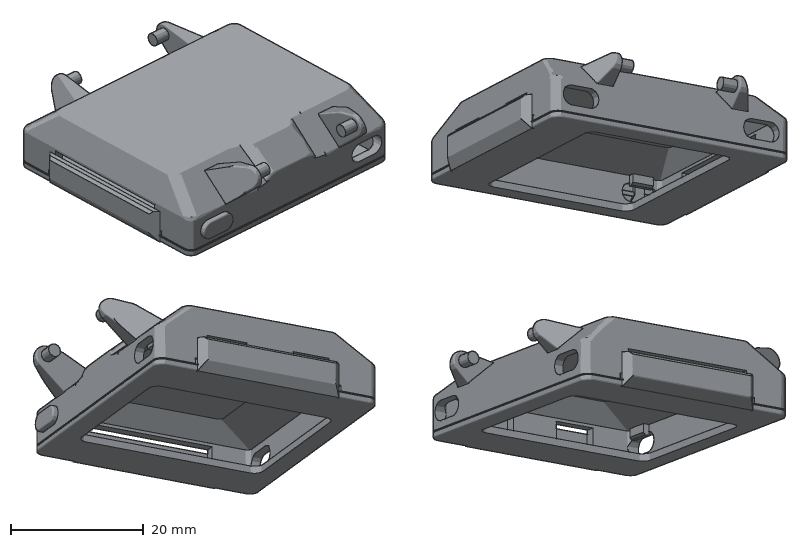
import cadquery as cq
import math

case_length_x = 37.26
case_length_y = 41.36
top_length_x = 25.8
top_length_y = 37.6
half_x = case_length_x / 2
half_y = case_length_y / 2
seam_z = 1.15
shoulder_z = 6.55
top_z = 11.35
corner_radius = 1.5
shoulder_radius = 0.8
top_edge_radius = 0.5
wall = 1.5
inner_half_x = half_x - wall
inner_half_y = half_y - wall
selection_margin = 0.1

slope_run = half_x - top_length_x / 2
slope_rise = top_z - shoulder_z
slope_length = math.hypot(slope_run, slope_rise)

pad_height = 1.3
pad_foot_height = 0.25
pad_start_x = 11.0
pad_edge_radius = 0.5
pad_top_stations = (-7.7, -5.6, -3.3, 3.6, 5.6, 7.7)
pad_bottom_stations = (-6.6, -4.8, -2.8, 3.6, 5.5, 7.5)

lug_inner_y = 10.3
lug_base_y = 13.35
lug_tip_edge_radius = 0.3
lug_inner_edge_radius = 0.25
lug_root_depth = 0.6
left_tip_radius = 1.7
left_reach_x = -21.27
left_tip = (left_reach_x + left_tip_radius, 9.7)
left_top_end = (-13.9, 10.45)
right_tip_radius = 1.8
right_reach_x = 23.41
right_reach_z = 13.4
right_tip = (right_reach_x - right_tip_radius, right_reach_z - right_tip_radius)
right_top_end = (13.9, 10.4)
right_top_knee = (18.77, 12.84)
left_outer_face = ((0, lug_base_y), (6, 10.65))
right_outer_face = ((0, lug_base_y), (4.5, 12.4), (8, 10.95))
pin_diameter = 2.0
pin_end_y = 7.87
left_pin_centre = (-19.43, 9.8)
right_pin_centre = (21.55, 11.8)

slot_z = 3.9
slot_height = 3.15
slot_length = 6.2
slot_depth = 2.5
plus_slot_y = 16.05
button_y = -15.55
button_height = 2.97
button_length = 6.1
button_end_x = 19.48
button_edge_radius = 0.3
button_recess = 0.5
button_post_half_y = 0.85
button_post_foot_half_y = 1.5
button_post_bend_z = 3.6
button_ledge_bottom_z = 3.5
button_ledge_top_z = 4.15
slot_rib_length = 3.6
slot_rib_bottom_z = 4.85
slot_rib_thickness = 1.0
slot_rib_chamfer = 0.35

window_half_x = 10.8
window_top_z = 6.05
far_window_half_x = 10.3
far_web_start_x = -4.28
far_web_end_x = 3.6
cover_edge_radius = 0.35
reveal = 0.15
flap_half_x = 11.95
flap_top_z = 5.4
overall_length_y = 43.75
flap_face_y = overall_length_y / 2
flap_side_bevel = 1.1
flap_bottom_bevel = 1.55
flap_top_bevel = 0.45
flap_edge_radius = 0.3
flap_root_depth = 1.0
relief_width = 0.35
relief_top_z = 2.05
relief_depth = 0.6
cover_top_z = seam_z - reveal
cover_opening_x = 30.6
cover_opening_y = 25.2


def box(x_range, y_range, z_range):
    """Block between the given limits."""
    size = [high - low for low, high in (x_range, y_range, z_range)]
    return cq.Workplane("XY").box(*size, centered=False).translate((x_range[0], y_range[0], z_range[0]))


def rounded_plate(length_x, length_y, radius, bottom, top):
    """Flat plate with round corners, centred on the case."""
    plate = cq.Workplane("XY", origin=(0, 0, bottom)).rect(length_x, length_y).extrude(top - bottom)
    return plate.edges("|Z").fillet(radius)


def rounded_outline(length_x, length_y, radius, z):
    """Rectangle with round corners at height z."""
    return rounded_plate(length_x, length_y, radius, z, z + 1).faces("<Z").wires().val()


def tapered_block(inset, bottom, top):
    """Block with round corners, straight up to the shoulder and tapered above, moved in by inset."""
    radius = corner_radius - inset / 2
    levels = (
        (bottom, case_length_x, case_length_y),
        (shoulder_z, case_length_x, case_length_y),
        (top, top_length_x, top_length_y),
    )
    sections = [rounded_outline(x - 2 * inset, y - 2 * inset, radius, z) for z, x, y in levels]
    return cq.Workplane(cq.Solid.makeLoft(sections, True))


def slope_height(x):
    """Height of the sloping side at distance x from the middle."""
    return shoulder_z + (half_x - abs(x)) * slope_rise / slope_run


def arc_middle(level_end, other_end):
    """Middle point of the arc that starts level at level_end and runs to other_end."""
    dy = other_end[0] - level_end[0]
    dz = other_end[1] - level_end[1]
    radius = (dy * dy + dz * dz) / (2 * dz)
    half_turn = math.asin(dy / radius) / 2
    return (
        level_end[0] + radius * math.sin(half_turn),
        level_end[1] + radius * (1 - math.cos(half_turn)),
    )


def pad_section(x, stations):
    """Cross-section of the raised pad: concave foot, convex shoulder, flat plateau."""
    base = slope_height(x)
    root = base - wall / 2
    bend = base + pad_foot_height
    plateau = base + pad_height
    heights = (base, bend, plateau, plateau, bend, base)
    foot_a, bend_a, edge_a, edge_b, bend_b, foot_b = zip(stations, heights)
    section = (
        cq.Workplane("YZ", origin=(x, 0, 0))
        .moveTo(foot_a[0], root)
        .lineTo(*foot_a)
        .threePointArc(arc_middle(foot_a, bend_a), bend_a)
        .threePointArc(arc_middle(edge_a, bend_a), edge_a)
        .lineTo(*edge_b)
        .threePointArc(arc_middle(edge_b, bend_b), bend_b)
        .threePointArc(arc_middle(foot_b, bend_b), foot_b)
        .lineTo(foot_b[0], root)
        .close()
    )
    return section.val()


def raised_pad():
    """Pad lofted down the +X slope, cut off level with the case top."""
    sections = [pad_section(pad_start_x, pad_top_stations), pad_section(half_x, pad_bottom_stations)]
    pad = cq.Workplane(cq.Solid.makeLoft(sections, True))
    pad = pad.faces(">X").edges(">Z").fillet(pad_edge_radius)
    return pad.intersect(box((0, half_x), (-half_y, half_y), (seam_z, top_z)))


def case_shell():
    """Hollow case, open at the bottom, with rounded edges and the raised pad."""
    shell = tapered_block(0, seam_z, top_z)
    low_corner = (-half_x, -half_y, shoulder_z - selection_margin)
    high_corner = (half_x, half_y, shoulder_z + selection_margin)
    shoulder_edges = shell.edges(cq.selectors.BoxSelector(low_corner, high_corner))
    shell = shoulder_edges.fillet(shoulder_radius)
    shell = shell.union(raised_pad())
    shell = shell.faces(">Z").edges().fillet(top_edge_radius)
    cavity = tapered_block(wall, seam_z, top_z - wall)
    return shell.cut(cavity)


def tangent_point(point, centre, radius, side):
    """Touch point, on a circle, of one of the two tangents from a point outside it."""
    dx = point[0] - centre[0]
    dz = point[1] - centre[1]
    angle = math.atan2(dz, dx) + side * math.acos(radius / math.hypot(dx, dz))
    return (centre[0] + radius * math.cos(angle), centre[1] + radius * math.sin(angle))


def lug(side, tip, tip_radius, upper_points, outer_face):
    """Lug at +Y: side outline with a round tip; the outer face leans in away from the slope."""
    foot = (side * half_x, shoulder_z)
    normal = (side * slope_rise / slope_length, slope_run / slope_length)
    sink_x, sink_z = [-lug_root_depth * component for component in normal]
    lower_touch = tangent_point(foot, tip, tip_radius, side)
    upper_touch = tangent_point(upper_points[-1], tip, tip_radius, -side)
    far_point = (tip[0] + side * tip_radius, tip[1])
    upper_end = upper_points[0]
    blank = (
        cq.Workplane("XZ")
        .moveTo(foot[0] + sink_x, foot[1] + sink_z)
        .lineTo(*foot)
        .lineTo(*lower_touch)
        .threePointArc(far_point, upper_touch)
        .polyline([upper_touch] + upper_points[::-1])
        .lineTo(upper_end[0] + sink_x, upper_end[1] + sink_z)
        .close()
        .extrude(-half_y)
    )
    section_plane = cq.Plane(
        origin=(foot[0], 0, foot[1]),
        xDir=(0, 1, 0),
        normal=(normal[1], 0, -normal[0]),
    )
    outer_points = [(y, height) for height, y in outer_face]
    section_points = [
        (lug_inner_y, -lug_root_depth),
        (lug_base_y, -lug_root_depth),
        *outer_points,
        (lug_inner_y, outer_points[-1][1]),
    ]
    section = cq.Workplane(section_plane).polyline(section_points).close()
    body = blank.intersect(section.extrude(2 * slope_length, both=True))
    body = body.edges("%ELLIPSE").fillet(lug_tip_edge_radius)
    return body.faces("<Y").edges().fillet(lug_inner_edge_radius)


def both_ends(body):
    """The body and its mirror image at the other Y end."""
    return [body, body.mirror("XZ")]


def slot(x_range, y, length, height):
    """Round-ended bar along X, standing across a long side wall."""
    bar = cq.Workplane("YZ", origin=(x_range[0], y, slot_z)).slot2D(length, height)
    return bar.extrude(x_range[1] - x_range[0])


def case_end_windows():
    """Window in the -Y wall, and a pair of windows with a web between them in the +Y wall."""
    heights = (seam_z, window_top_z)
    near_wall = (-half_y, -inner_half_y)
    far_wall = (inner_half_y, half_y)
    near = box((-window_half_x, window_half_x), near_wall, heights)
    far_left = box((-far_window_half_x, far_web_start_x), far_wall, heights)
    far_right = box((far_web_end_x, far_window_half_x), far_wall, heights)
    return [near, far_left, far_right]


def relief(side_x):
    """Shallow notch beside the foot of the -Y flap."""
    x_range = sorted((side_x * flap_half_x, side_x * (flap_half_x + relief_width)))
    return box(x_range, (-half_y, -half_y + relief_depth), (seam_z, relief_top_z))


def flap_outline(reach, low_z, y):
    """Upright rectangle at the given Y, from low_z to the flap top."""
    corners = [(-reach, low_z), (reach, low_z), (reach, flap_top_z), (-reach, flap_top_z)]
    return cq.Wire.makePolygon([cq.Vector(x, y, z) for x, z in corners], close=True)


def end_flap():
    """Flap outside the -Y wall: bevelled sides, bottom and top edge, and a root in the cover."""
    face_half_x = flap_half_x - flap_side_bevel
    foot = flap_outline(flap_half_x, 0, -half_y)
    face = flap_outline(face_half_x, flap_bottom_bevel, -flap_face_y)
    flap = cq.Workplane(cq.Solid.makeLoft([foot, face], True))
    flap = flap.faces("<Y").edges(">Z").chamfer(flap_top_bevel)
    flap = flap.faces("<Y").edges("not >Z").fillet(flap_edge_radius)
    root = box((-flap_half_x, flap_half_x), (-half_y, -half_y + flap_root_depth), (0, cover_top_z))
    return flap.union(root)


def slot_rib(y):
    """Short rib inside the +X wall, hanging over the top of a slot."""
    y_range = (y - slot_rib_length / 2, y + slot_rib_length / 2)
    x_range = (inner_half_x - slot_rib_thickness, inner_half_x)
    rib = box(x_range, y_range, (slot_rib_bottom_z, shoulder_z))
    return rib.faces("<X").edges("<Z").chamfer(slot_rib_chamfer)


def push_button():
    """Round-ended button through the +X wall, hollow behind except for a post and a ledge."""
    start_x = inner_half_x + button_recess
    body = slot((start_x, button_end_x), button_y, button_length, button_height)
    body = body.faces(">X").edges().fillet(button_edge_radius)
    bottom_z = slot_z - button_height / 2
    post_top_z = slot_z + button_height / 2
    post = (
        cq.Workplane("YZ", origin=(inner_half_x, button_y, 0))
        .moveTo(-button_post_foot_half_y, bottom_z)
        .lineTo(-button_post_half_y, button_post_bend_z)
        .lineTo(-button_post_half_y, post_top_z)
        .lineTo(button_post_half_y, post_top_z)
        .lineTo(button_post_half_y, button_post_bend_z)
        .lineTo(button_post_foot_half_y, bottom_z)
        .close()
        .extrude(button_recess)
    )
    ledge = slot((inner_half_x + button_recess / 2, start_x), button_y, button_length, button_height)
    ledge_limits = box(
        (inner_half_x, start_x),
        (button_y - button_length / 2, button_y + button_length / 2),
        (button_ledge_bottom_z, button_ledge_top_z),
    )
    ledge = ledge.intersect(ledge_limits)
    return body.union(post).union(ledge)


def strap_pin(centre):
    """Pin standing on the inner face of a +Y lug."""
    pin = cq.Workplane("XZ", origin=(0, lug_inner_y, 0)).center(*centre).circle(pin_diameter / 2)
    return pin.extrude(lug_inner_y - pin_end_y)


minus_x_wall = (-half_x, -half_x + slot_depth)
plus_x_wall = (half_x - slot_depth, half_x)

housing = case_shell()
left_lug = lug(-1, left_tip, left_tip_radius, [left_top_end], left_outer_face)
right_lug = lug(1, right_tip, right_tip_radius, [right_top_end, right_top_knee], right_outer_face)
for one_lug in both_ends(left_lug) + both_ends(right_lug):
    housing = housing.union(one_lug)

for wall_range in (minus_x_wall, plus_x_wall):
    housing = housing.cut(slot(wall_range, plus_slot_y, slot_length, slot_height))
housing = housing.cut(slot(minus_x_wall, button_y, slot_length, slot_height))
housing = housing.cut(slot(plus_x_wall, button_y, button_length, button_height))

for window in case_end_windows():
    housing = housing.cut(window)
for side in (-1, 1):
    for notch in both_ends(relief(side)):
        housing = housing.cut(notch)
for rib_y in (plus_slot_y, button_y):
    housing = housing.union(slot_rib(rib_y))

cover = rounded_plate(case_length_x, case_length_y, corner_radius, 0, cover_top_z)
cover = cover.faces("<Z").edges().fillet(cover_edge_radius)
lip = rounded_plate(
    case_length_x - 2 * reveal,
    case_length_y - 2 * reveal,
    corner_radius - reveal,
    cover_top_z,
    seam_z,
)
cover = cover.union(lip)
cover = cover.cut(rounded_plate(cover_opening_x, cover_opening_y, corner_radius, 0, seam_z))
for flap in both_ends(end_flap()):
    cover = cover.union(flap)

button = push_button()

pins = []
for pin_centre in (left_pin_centre, right_pin_centre):
    pins += both_ends(strap_pin(pin_centre))

result = cq.Compound.makeCompound(
    [housing.val(), cover.val(), button.val(), *[pin.val() for pin in pins]]
)